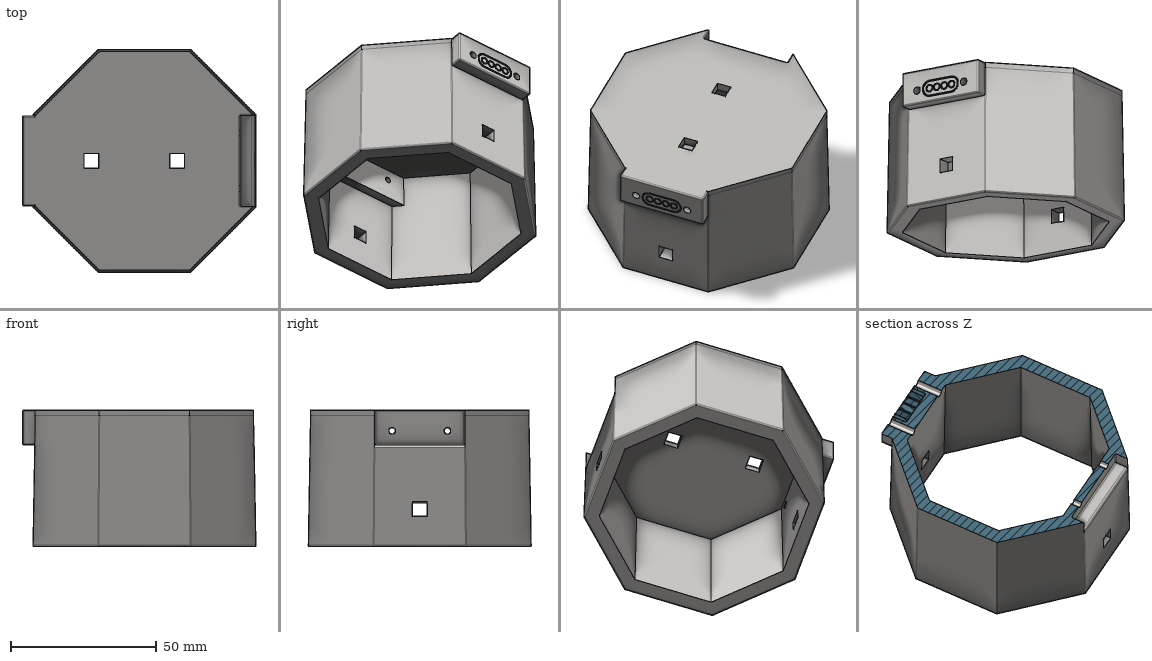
import cadquery as cq
import math

octagon_sides = 8
half_corner_angle = 180 / octagon_sides
bottom_apothem = 38.405
height = 47.0
rim_height = 1.85
draft_angle = 1.0
wall = 5.0
roof = 3.0
edge_round = 0.5

draft_height = height - rim_height
draft_slope = math.tan(math.radians(draft_angle))
rim_apothem = bottom_apothem - draft_height * draft_slope
cavity_height = height - roof
cavity_bottom_apothem = bottom_apothem - wall
cavity_top_apothem = cavity_bottom_apothem - cavity_height * draft_slope

block_face_x = -41.985
block_width = 31.0
block_height = 12.0
block_bottom = height - block_height
block_root_x = -cavity_bottom_apothem

recess_width = 31.25
recess_depth = 4.75
recess_back_x = rim_apothem - recess_depth
recess_floor = block_bottom
lip_round = 0.9
lip_end_z = recess_floor - lip_round
lip_end_x = bottom_apothem - lip_end_z * draft_slope
rim_round = 0.45
backing_wall = 3.0
cutter_overrun = 1.0
cutter_end_x = bottom_apothem + cutter_overrun

connector_z = 39.85
connector_length = 13.8
connector_height = 5.0
connector_depth = 5.0
groove_depth = 0.5
connector_groove = 0.4
pin_count = 4
pin_pitch = 3.0
pin_diameter = 2.15
pin_groove = 0.25

screw_diameter = 2.6
far_screw_diameter = 2.1
screw_count = 2
screw_spacing = 19.05

opening = 5.0
roof_opening_xs = (-18.3, 11.25)
window_bottom = 10.0
far_window_bottom = 10.5


def corner_diameter(apothem):
    """Diameter through the corners of an octagon with this apothem."""
    return 2 * apothem / math.cos(math.pi / octagon_sides)


def octagon(apothem, z):
    """Octagon with flat sides facing X and Y."""
    plan = cq.Workplane("XY", origin=(0, 0, z)).transformed(rotate=(0, 0, half_corner_angle))
    return plan.polygon(octagon_sides, corner_diameter(apothem))


def tapered_octagon(bottom, top, z_top):
    """Octagonal frustum standing on z = 0."""
    outlines = octagon(bottom, 0).workplane(offset=z_top).polygon(octagon_sides, corner_diameter(top))
    return outlines.loft(ruled=True)


def box_between(x_min, x_max, width, z_min, z_max):
    """Box centred on y = 0."""
    plan = cq.Workplane("XY", origin=((x_min + x_max) / 2, 0, z_min))
    return plan.rect(x_max - x_min, width).extrude(z_max - z_min)


def side_plane(x):
    """Plane square to X at the connector's height; extrusions run toward +X."""
    return cq.Workplane("YZ", origin=(x, 0, connector_z))


def make_shell():
    """Solid octagon: a drafted lower part with a straight rim on top."""
    drafted = tapered_octagon(bottom_apothem, rim_apothem, draft_height)
    drafted = drafted.edges("not(#Z)").fillet(edge_round)
    drafted = drafted.faces("<Z").edges().fillet(edge_round)
    rim = octagon(rim_apothem, draft_height).extrude(rim_height)
    return drafted.union(rim)


def make_block():
    """Block on the -X side that carries the connector."""
    block = box_between(block_face_x, block_root_x, block_width, block_bottom, height)
    return block.edges("<X or |X").fillet(edge_round)


def make_recess_cutter():
    """Recess volume: rounded inner corners, and a lip that rolls over the floor's outer edge."""
    cutter = box_between(recess_back_x, cutter_end_x, recess_width, recess_floor, height)
    cutter = cutter.edges("<X and (not >Z)").fillet(edge_round)
    lip_start_x = lip_end_x - lip_round
    lip = (
        cq.Workplane("XZ")
        .moveTo(lip_start_x, recess_floor)
        .radiusArc((lip_end_x, lip_end_z), lip_round)
        .lineTo(cutter_end_x, lip_end_z)
        .lineTo(cutter_end_x, recess_floor)
        .close()
        .extrude(recess_width / 2, both=True)
    )
    return cutter.union(lip)


def cut_recess(housing):
    housing = housing.cut(make_recess_cutter())
    back_rim = cq.selectors.NearestToPointSelector((recess_back_x, 0, height))
    return housing.edges(back_rim).fillet(rim_round)


def make_cavity():
    """Hollow of the shell, open at the bottom, leaving a backing behind the recess."""
    cavity = tapered_octagon(cavity_bottom_apothem, cavity_top_apothem, cavity_height)
    backing = box_between(
        recess_back_x - backing_wall,
        cutter_end_x,
        recess_width + 2 * backing_wall,
        recess_floor - backing_wall,
        height,
    )
    return cavity.cut(backing)


def cut_screw_holes(housing):
    """Holes through the block, with narrower ones in line through the recess wall."""
    near = side_plane(block_face_x).rarray(screw_spacing, 1, screw_count, 1).circle(screw_diameter / 2)
    far = side_plane(0).rarray(screw_spacing, 1, screw_count, 1).circle(far_screw_diameter / 2)
    return housing.cut(near.extrude(-block_face_x)).cut(far.extrude(bottom_apothem))


def cut_openings(housing):
    """Square openings through the roof and through the -X and +X walls."""
    half = opening / 2
    for x in roof_opening_xs:
        housing = housing.cut(box_between(x - half, x + half, opening, cavity_height, height))
    near = box_between(-bottom_apothem, 0, opening, window_bottom, window_bottom + opening)
    far = box_between(0, bottom_apothem, opening, far_window_bottom, far_window_bottom + opening)
    return housing.cut(near).cut(far)


def connector_solid(margin, depth):
    """Stadium-shaped plug, grown sideways by the margin."""
    plan = side_plane(block_face_x).slot2D(connector_length + 2 * margin, connector_height + 2 * margin)
    return plan.extrude(depth)


def pin_solids(margin, depth):
    """Row of pins, each grown sideways by the margin."""
    spots = side_plane(block_face_x).rarray(pin_pitch, 1, pin_count, 1)
    return spots.circle(pin_diameter / 2 + margin).extrude(depth)


def make_housing():
    housing = make_shell().union(make_block())
    housing = cut_recess(housing)
    housing = housing.cut(make_cavity())
    housing = cut_openings(housing)
    housing = cut_screw_holes(housing)
    housing = housing.cut(connector_solid(0, connector_depth))
    return housing.cut(connector_solid(connector_groove, groove_depth))


def make_connector():
    connector = connector_solid(0, connector_depth)
    connector = connector.cut(pin_solids(0, connector_depth))
    return connector.cut(pin_solids(pin_groove, groove_depth))


housing = make_housing()
connector = make_connector()
pins = pin_solids(0, connector_depth)
result = cq.Compound.makeCompound([housing.val(), connector.val(), *pins.vals()])